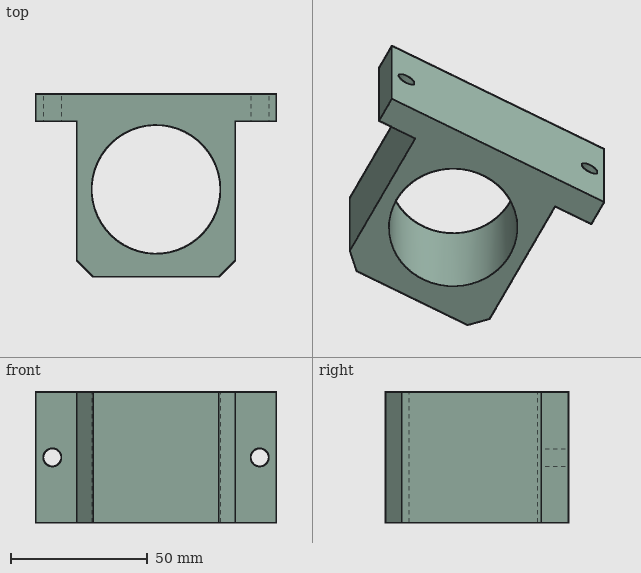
import cadquery as cq

flange_width = 88.0
total_depth = 67.0
height = 48.0

flange_thickness = 10.0
body_width = 58.0
corner_chamfer = 6.0

bore_diameter = 47.0
bore_to_front = 32.0
mount_hole_diameter = 6.5
mount_hole_spacing = 75.9

front_y = -bore_to_front
back_y = front_y + total_depth


def make_flange():
    """Full-width plate whose rear face is the back of the part."""
    return (
        cq.Workplane("XY")
        .center(0, back_y - flange_thickness / 2)
        .rect(flange_width, flange_thickness)
        .extrude(height)
    )


def make_body():
    """Block reaching from front to back, with its two front vertical edges chamfered."""
    return (
        cq.Workplane("XY")
        .center(0, front_y + total_depth / 2)
        .rect(body_width, total_depth)
        .extrude(height)
        .faces("<Y")
        .edges("|Z")
        .chamfer(corner_chamfer)
    )


def make_bore():
    """Vertical cylinder on the Z axis, through the full height."""
    return cq.Workplane("XY").circle(bore_diameter / 2).extrude(height)


def make_mount_holes():
    """Pair of cylinders along Y, at mid height, through the flange."""
    half_spacing = mount_hole_spacing / 2
    return (
        cq.Workplane("XZ", origin=(0, back_y, height / 2))
        .pushPoints([(-half_spacing, 0), (half_spacing, 0)])
        .circle(mount_hole_diameter / 2)
        .extrude(flange_thickness)
    )


result = make_flange().union(make_body()).cut(make_bore()).cut(make_mount_holes())